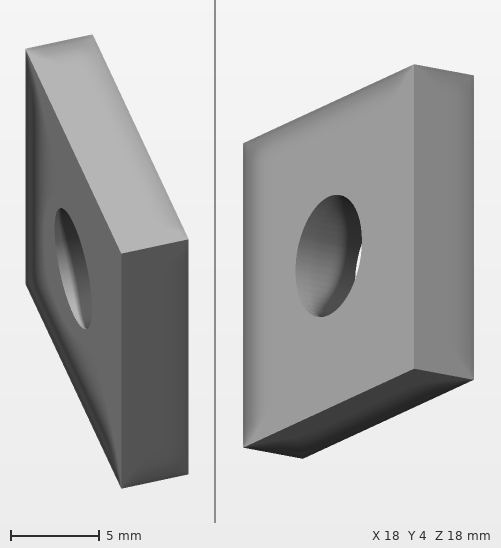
import cadquery as cq

side = 18.0
thickness = 4.0
hole_diameter = 7.0

plate = cq.Workplane("XY").box(side, thickness, side)

result = plate.faces("<Y").workplane(centerOption="CenterOfMass").hole(hole_diameter)